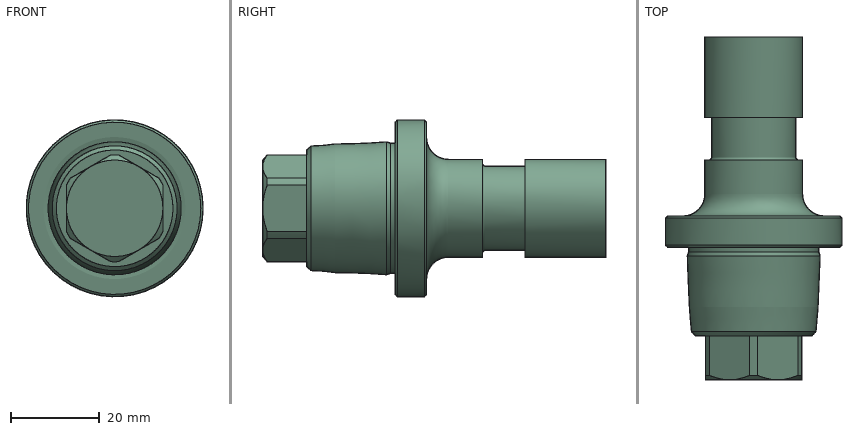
import cadquery as cq

TOTAL_LENGTH = 77.5

HEX_ACROSS_FLATS = 21.8
HEX_CORNER_RADIUS = 12.1
HEX_LENGTH = 9.9
HEX_CHAMFER_LENGTH = 1.0

BODY_CHAMFER_LENGTH = 1.0
BODY_CHAMFER_WIDTH = 0.9
BODY_FRONT_RADIUS = 14.1
BODY_MIDDLE_RADIUS = 14.6
BODY_MIDDLE_Y = 16.4
BODY_BACK_RADIUS = 15.0
BODY_BACK_Y = 28.0
BODY_BACK_CHAMFER = 0.5

RELIEF_RADIUS = 14.7
RELIEF_RAMP_LENGTH = 0.4
RELIEF_RAMP_HEIGHT = 0.15
RELIEF_FILLET = 0.4
UNDERCUT_RADIUS = 16.05
UNDERCUT_DEPTH = 0.15

FLANGE_RADIUS = 20.0
FLANGE_FRONT_Y = 29.9
FLANGE_THICKNESS = 7.1
FLANGE_CHAMFER = 0.55

SHAFT_RADIUS = 11.1
SHAFT_ROOT_FILLET = 4.9
NECK_RADIUS = 9.5
NECK_FRONT_Y = 49.7
NECK_BACK_Y = 59.2
NECK_FILLET = 0.6

FLANGE_BACK_Y = FLANGE_FRONT_Y + FLANGE_THICKNESS


def make_turned_body():
    """Half profile (radius, y) spun about the Y axis."""
    arc_mid = 0.5**0.5
    root_centre_radius = SHAFT_RADIUS + SHAFT_ROOT_FILLET
    root_centre_y = FLANGE_BACK_Y + SHAFT_ROOT_FILLET
    neck_centre_radius = NECK_RADIUS + NECK_FILLET
    neck_centre_y = NECK_FRONT_Y + NECK_FILLET
    relief_centre_radius = RELIEF_RADIUS + RELIEF_FILLET
    undercut_y = FLANGE_FRONT_Y + UNDERCUT_DEPTH
    relief_centre_y = undercut_y - RELIEF_FILLET
    ramp_front_y = BODY_BACK_Y + BODY_BACK_CHAMFER

    profile = (
        cq.Workplane("XY")
        .moveTo(0, HEX_LENGTH)
        .lineTo(BODY_FRONT_RADIUS - BODY_CHAMFER_WIDTH, HEX_LENGTH)
        .lineTo(BODY_FRONT_RADIUS, HEX_LENGTH + BODY_CHAMFER_LENGTH)
        .lineTo(BODY_MIDDLE_RADIUS, BODY_MIDDLE_Y)
        .lineTo(BODY_BACK_RADIUS, BODY_BACK_Y)
        .lineTo(RELIEF_RADIUS + RELIEF_RAMP_HEIGHT, ramp_front_y)
        .lineTo(RELIEF_RADIUS, ramp_front_y + RELIEF_RAMP_LENGTH)
        .lineTo(RELIEF_RADIUS, relief_centre_y)
        .threePointArc(
            (relief_centre_radius - RELIEF_FILLET * arc_mid, relief_centre_y + RELIEF_FILLET * arc_mid),
            (relief_centre_radius, undercut_y),
        )
        .lineTo(UNDERCUT_RADIUS, FLANGE_FRONT_Y)
        .lineTo(FLANGE_RADIUS - FLANGE_CHAMFER, FLANGE_FRONT_Y)
        .lineTo(FLANGE_RADIUS, FLANGE_FRONT_Y + FLANGE_CHAMFER)
        .lineTo(FLANGE_RADIUS, FLANGE_BACK_Y - FLANGE_CHAMFER)
        .lineTo(FLANGE_RADIUS - FLANGE_CHAMFER, FLANGE_BACK_Y)
        .lineTo(root_centre_radius, FLANGE_BACK_Y)
        .threePointArc(
            (root_centre_radius - SHAFT_ROOT_FILLET * arc_mid, root_centre_y - SHAFT_ROOT_FILLET * arc_mid),
            (SHAFT_RADIUS, root_centre_y),
        )
        .lineTo(SHAFT_RADIUS, NECK_FRONT_Y)
        .lineTo(neck_centre_radius, NECK_FRONT_Y)
        .threePointArc(
            (neck_centre_radius - NECK_FILLET * arc_mid, neck_centre_y - NECK_FILLET * arc_mid),
            (NECK_RADIUS, neck_centre_y),
        )
        .lineTo(NECK_RADIUS, NECK_BACK_Y)
        .lineTo(SHAFT_RADIUS, NECK_BACK_Y)
        .lineTo(SHAFT_RADIUS, TOTAL_LENGTH)
        .lineTo(0, TOTAL_LENGTH)
        .close()
    )
    return profile.revolve(360, (0, 0, 0), (0, 1, 0))


def make_hex_head():
    """Hexagon with corners turned to a cylinder, flats facing +X and -X, and a coned front end."""
    apothem = HEX_ACROSS_FLATS / 2
    overlap = BODY_CHAMFER_LENGTH
    head_back_y = HEX_LENGTH + overlap
    prism = (
        cq.Workplane("XZ")
        .polygon(6, HEX_ACROSS_FLATS, circumscribed=True)
        .extrude(-head_back_y)
    )
    envelope = (
        cq.Workplane("XY")
        .moveTo(0, 0)
        .lineTo(apothem, 0)
        .lineTo(HEX_CORNER_RADIUS, HEX_CHAMFER_LENGTH)
        .lineTo(HEX_CORNER_RADIUS, head_back_y)
        .lineTo(0, head_back_y)
        .close()
        .revolve(360, (0, 0, 0), (0, 1, 0))
    )
    return prism.intersect(envelope)


result = make_turned_body().union(make_hex_head())